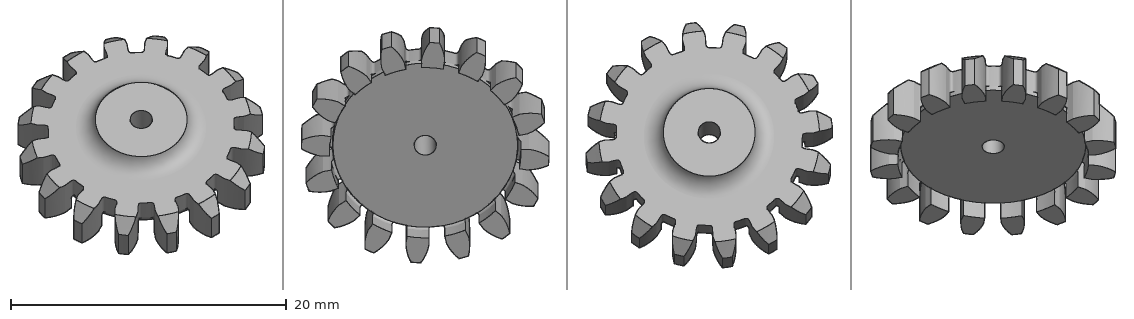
import cadquery as cq
import math

tooth_count = 16
tip_radius = 9.0
root_radius = 6.75
face_top = 3.37
web_bottom = 1.19
tip_bevel = 0.99
bore_diameter = 1.6

tip_half_width = 0.36
flank_reach = 8.28
flank_half_width = 0.68
widest_reach = 7.5
widest_half_width = 0.85
neck_reach = 7.02
neck_half_width = 0.8
root_fillet = 0.22
root_match_tolerance = 0.02
tooth_overlap = 0.9

hub_top = 4.37
hub_top_radius = 3.33
hub_foot_radius = 4.73

recess_radius = 6.95
web_foot_radius = 6.7
groove_top = 1.51
groove_fillet = 0.4


def on_circle(half_width, radius):
    """Height along the tooth axis of a point on a circle, half_width off the axis."""
    return math.sqrt(radius**2 - half_width**2)


def make_tooth():
    """One full-height tooth along +Y, reaching well into the web."""
    tip_y = on_circle(tip_half_width, tip_radius)
    inner_y = root_radius - tooth_overlap
    return (
        cq.Workplane("XY")
        .moveTo(-neck_half_width, inner_y)
        .lineTo(-neck_half_width, neck_reach)
        .lineTo(-widest_half_width, widest_reach)
        .threePointArc((-flank_half_width, flank_reach), (-tip_half_width, tip_y))
        .threePointArc((0, tip_radius), (tip_half_width, tip_y))
        .threePointArc((flank_half_width, flank_reach), (widest_half_width, widest_reach))
        .lineTo(neck_half_width, neck_reach)
        .lineTo(neck_half_width, inner_y)
        .close()
        .extrude(face_top)
    )


def make_toothed_blank():
    """Root cylinder with all teeth and rounded tooth roots."""
    blank = cq.Workplane("XY").circle(root_radius).extrude(face_top)
    tooth = make_tooth()
    for index in range(tooth_count):
        blank = blank.union(tooth.rotate((0, 0, 0), (0, 0, 1), index * 360 / tooth_count))
    corners = blank.edges("|Z").filter(
        lambda edge: abs(math.hypot(edge.Center().x, edge.Center().y) - root_radius) < root_match_tolerance
    )
    return corners.fillet(root_fillet)


def revolve_profile(profile):
    """Close a radius-height profile and turn it about the Z axis."""
    return profile.close().revolve(360, (0, 0, 0), (0, 1, 0))


def make_bevel_envelope():
    """Turned envelope whose conical shoulder bevels the upper tooth tips."""
    return revolve_profile(
        cq.Workplane("XZ")
        .lineTo(tip_radius, 0)
        .lineTo(tip_radius, face_top - tip_bevel)
        .lineTo(tip_radius - tip_bevel, face_top)
        .lineTo(0, face_top)
    )


def make_recess():
    """Round recess under the web, deepened to a narrow groove along the tooth roots."""
    groove_width = recess_radius - root_radius
    groove_middle = (
        recess_radius - groove_width * (1 - math.sqrt(0.5)),
        groove_top - groove_fillet * (1 - math.sqrt(0.5)),
    )
    return revolve_profile(
        cq.Workplane("XZ")
        .lineTo(recess_radius, 0)
        .lineTo(recess_radius, groove_top - groove_fillet)
        .threePointArc(groove_middle, (root_radius, groove_top))
        .lineTo(web_foot_radius, web_bottom)
        .lineTo(0, web_bottom)
    )


def make_hub():
    """Hub whose concave side runs tangentially into the upper face."""
    rise = hub_top - face_top
    run = hub_foot_radius - hub_top_radius
    cove_radius = (rise**2 + run**2) / (2 * rise)
    half_angle = math.atan2(rise, run)
    cove_middle = (
        hub_foot_radius - cove_radius * math.sin(half_angle),
        face_top + cove_radius * (1 - math.cos(half_angle)),
    )
    return revolve_profile(
        cq.Workplane("XZ")
        .moveTo(0, web_bottom)
        .lineTo(hub_foot_radius, web_bottom)
        .lineTo(hub_foot_radius, face_top)
        .threePointArc(cove_middle, (hub_top_radius, hub_top))
        .lineTo(0, hub_top)
    )


gear = make_toothed_blank().intersect(make_bevel_envelope())
gear = gear.cut(make_recess())
gear = gear.union(make_hub())
bore = cq.Workplane("XY").circle(bore_diameter / 2).extrude(hub_top)

result = gear.cut(bore)